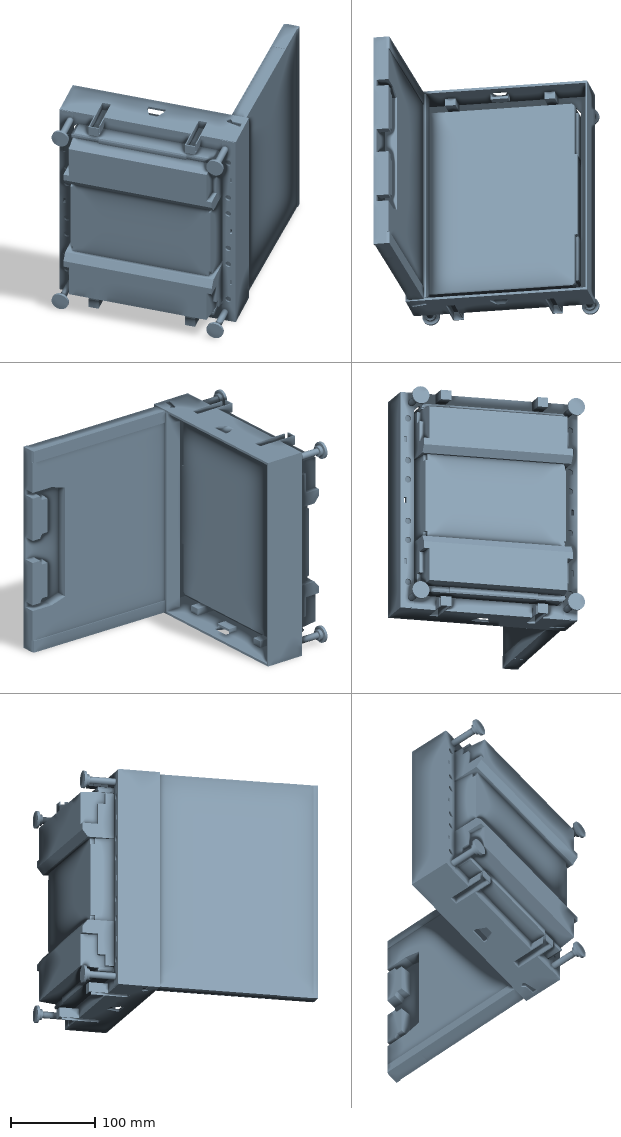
import cadquery as cq
import math

frame_width = 219.2
frame_height = 264.0
frame_front = 41.0
frame_back = 92.0
mid_x = frame_width / 2

wall = 3.0
side_wall = 1.7
flange_thickness = 4.5
opening_width = 186.3
opening_height = 231.3
opening_chamfer = 5.8
pad_width = 16.7
pad_thickness = 0.5
pad_inset = 0.5

foot_spacing_x = 192.5
foot_spacing_z = 238.8
foot_stem_radius = 4.0
foot_collar_radius = 6.5
foot_collar_front = 3.2
foot_collar_back = 7.5
foot_disc_radius = 10.5

round_hole_spacing = 200.7
round_hole_diameter = 7.5
round_hole_heights = (25.5, 48.7, 100.0)
round_hole_depth = 2.3
window_spacing = 207.5
window_width = 3.0
window_height = 7.0
window_offset = 74.7
window_recess = 1.2

slot_width = 21.3
slot_front = 73.2
slot_back = 78.0
ramp_front = 61.7
ramp_narrow_width = 9.8
ramp_depth = 5.8

clip_spacing = 120.0
clip_width = 12.7
clip_height = 11.5
clip_front = 17.3
clip_back = 69.8
clip_wall = 1.2
clip_gap = 5.0

hinge_slot_outline = [
    (195.5, 78.7), (199.0, 83.5), (202.5, 79.5), (214.5, 78.5), (214.5, 72.0), (202.5, 75.3), (197.2, 76.7),
]

tray_width = 177.5
tray_height = 229.5
tray_front = 20.5
tray_back = 63.5
back_plate = 8.7
tray_chamfer_y = 1.0
tray_chamfer_z = 2.0
tray_corner = 3.0
tongue_width = 109.0
shelf_setback = 1.2
groove_height = 2.3
groove_depth = 1.0

box_half_height = 50.8
box_front = 12.7
box_base_width = 185.0
box_face_width = 174.2
notch_depth = 5.8
notch_height = 7.2
notch_width = 2.3

cover_front = 1.2
cover_width = 184.5
cover_tip_top = 106.5
cover_base_top = 107.8
cover_bevel_start = 8.0
cover_bevel_top = 59.5
cover_body_base_width = 177.5
cover_body_face_width = 171.3
ear_edge = 67.5
ear_step = 92.5
ear_top = 105.8
ear_front = 20.8
ear_step_front = 30.0

door_end = 288.0
door_height = 261.3
door_thickness = 18.2
door_outer_x = 215.5
door_tilt = 1.0
border_height = 15.0
border_thickness = 1.2
edge_step = 0.3
lip_length = 5.8
lip_thickness = 1.0
end_bevel_x = 3.5
end_bevel_y = 1.2
handle_length = 48.5
handle_straight_length = 28.3
handle_half_height = 76.7
handle_tip_half_height = 70.6
handle_depth = 14.0
grip_center = 41.8
grip_half_height = 27.5
grip_neck_half_height = 22.0
grip_shoulder = 11.5
grip_neck = 15.0
grip_length = 23.6
grip_draft = 1.7

finger_front = 72.0
finger_height = 257.8
inner_finger = (194.4, 201.3)
outer_finger = (203.0, 215.5)


def block(x0, x1, y0, y1, z0, z1):
    """Box between two corners."""
    return cq.Workplane("XY").box(x1 - x0, y1 - y0, z1 - z0, centered=False).translate((x0, y0, z0))


def centered_block(width, height, y0, y1):
    """Box centered across the cabinet and on its mid-height."""
    return block(mid_x - width / 2, mid_x + width / 2, y0, y1, -height / 2, height / 2)


def y_cylinder(radius, x, z, y0, y1):
    return cq.Workplane("XZ", origin=(x, y0, z)).circle(radius).extrude(y0 - y1)


def x_prism(outline, width):
    """Outline of (y, z) points, extruded symmetrically across the cabinet."""
    return cq.Workplane("YZ", origin=(mid_x, 0, 0)).polyline(outline).close().extrude(width / 2, both=True)


def z_prism(outline, z0, z1):
    """Outline of (x, y) points, extruded upwards."""
    return cq.Workplane("XY", origin=(0, 0, z0)).polyline(outline).close().extrude(z1 - z0)


def mirror_down(shape):
    return shape.mirror("XY")


def drafted_prism(outline, base_width, face_width, y_base, y_face):
    """Side outline kept between two side faces that lean inwards towards the front."""
    height = frame_height
    sides = [
        (mid_x - base_width / 2, y_base),
        (mid_x - face_width / 2, y_face),
        (mid_x + face_width / 2, y_face),
        (mid_x + base_width / 2, y_base),
    ]
    return x_prism(outline, base_width).intersect(z_prism(sides, -height, height))


def make_frame_shell():
    shell = centered_block(frame_width, frame_height, frame_front, frame_back)
    cavity = centered_block(
        frame_width - 2 * side_wall, frame_height - 2 * wall, frame_front + flange_thickness, frame_back
    )
    opening = centered_block(
        opening_width, opening_height, frame_front - pad_thickness, frame_back
    ).edges("|Y").chamfer(opening_chamfer)
    pad_height = frame_height - 2 * pad_inset
    left_pad = block(
        pad_inset, pad_width, frame_front - pad_thickness, frame_front, -pad_height / 2, pad_height / 2
    )
    right_pad = left_pad.translate((frame_width - pad_width - pad_inset, 0, 0))
    return shell.cut(cavity).union(left_pad).union(right_pad).cut(opening)


def make_foot(x, z):
    stem = y_cylinder(foot_stem_radius, x, z, foot_collar_back, frame_front)
    collar = y_cylinder(foot_collar_radius, x, z, foot_collar_front, foot_collar_back)
    disc = y_cylinder(foot_disc_radius, x, z, 0, foot_collar_front)
    return stem.union(collar).union(disc)


def cut_flange_holes(frame):
    front = frame_front - pad_thickness
    for side in (-1, 1):
        hole_x = mid_x + side * round_hole_spacing / 2
        window_x = mid_x + side * window_spacing / 2
        for height in round_hole_heights:
            for z in (-height, height):
                frame = frame.cut(
                    y_cylinder(round_hole_diameter / 2, hole_x, z, front, front + round_hole_depth)
                )
        for z in (-window_offset, 0, window_offset):
            depth = window_recess if z else frame_back - front
            window = block(
                window_x - window_width / 2, window_x + window_width / 2, front, front + depth,
                z - window_height / 2, z + window_height / 2,
            )
            frame = frame.cut(window)
    return frame


def add_latch_slot(frame):
    top = frame_height / 2
    boss = block(
        mid_x - slot_width / 2, mid_x + slot_width / 2, ramp_front, slot_front, top - ramp_depth - wall, top
    )
    slot = block(
        mid_x - slot_width / 2, mid_x + slot_width / 2, slot_front, slot_back, top - ramp_depth - wall, top
    )
    ramp_plan = [
        (mid_x - ramp_narrow_width / 2, ramp_front),
        (mid_x + ramp_narrow_width / 2, ramp_front),
        (mid_x + slot_width / 2, slot_front),
        (mid_x - slot_width / 2, slot_front),
    ]
    ramp_side = [(ramp_front, top), (slot_front, top), (slot_front, top - ramp_depth)]
    ramp = z_prism(ramp_plan, top - ramp_depth, top).intersect(x_prism(ramp_side, slot_width))
    for place in (lambda shape: shape, mirror_down):
        frame = frame.union(place(boss)).cut(place(slot)).cut(place(ramp))
    return frame


def add_clip(frame, x, side):
    """Channel open to the outside; one of its walls stops short of the front end."""
    top = frame_height / 2
    left = x - clip_width / 2
    right = x + clip_width / 2
    bottom = top - clip_height
    body = block(left, right, clip_front, clip_back, bottom, top)
    channel = block(
        left + clip_wall, right - clip_wall, clip_front + clip_wall, clip_back - clip_wall,
        bottom + clip_wall, top,
    )
    gap = block(
        right - clip_wall, right, clip_front + clip_wall, clip_front + clip_wall + clip_gap,
        bottom + clip_wall, top,
    )
    turn = 0 if side > 0 else 180
    axis_start = (x, 0, 0)
    axis_end = (x, 1, 0)
    for shape, cutting in ((body, False), (channel, True), (gap, True)):
        placed = shape.rotate(axis_start, axis_end, turn)
        frame = frame.cut(placed) if cutting else frame.union(placed)
    return frame


def make_frame():
    frame = cut_flange_holes(make_frame_shell())
    frame = add_latch_slot(frame)
    for side_x in (-1, 1):
        for side_z in (-1, 1):
            frame = frame.union(
                make_foot(mid_x + side_x * foot_spacing_x / 2, side_z * foot_spacing_z / 2)
            )
            frame = add_clip(frame, mid_x + side_x * clip_spacing / 2, side_z)
    return frame.cut(z_prism(hinge_slot_outline, -frame_height, frame_height))


def make_rim_part(front, width):
    """Bar along the tray's top edge, beveled on its front edge."""
    half = tray_height / 2
    outline = [
        (tray_back, half),
        (front + tray_chamfer_y, half),
        (front, half - tray_chamfer_z),
        (front, cover_base_top),
        (tray_back, cover_base_top),
    ]
    return x_prism(outline, width)


def make_tray():
    tongue = make_rim_part(tray_front, tongue_width)
    shelf_front = tray_front + shelf_setback
    groove = block(
        0, frame_width, shelf_front, shelf_front + groove_depth,
        cover_base_top, cover_base_top + groove_height,
    )
    rim = make_rim_part(shelf_front, tray_width).cut(groove).union(tongue)
    box_outline = [
        (box_front, -box_half_height),
        (tray_back, -box_half_height),
        (tray_back, box_half_height),
        (box_front, box_half_height),
    ]
    box = drafted_prism(box_outline, box_base_width, box_face_width, tray_back, box_front)
    for side in (-1, 1):
        edge_x = mid_x + side * (box_face_width / 2 - notch_width)
        far_x = mid_x + side * box_base_width / 2
        x0, x1 = sorted((edge_x, far_x))
        notch = block(
            x0, x1, box_front, box_front + notch_depth, box_half_height - notch_height, box_half_height
        )
        box = box.cut(notch).cut(mirror_down(notch))
    back = centered_block(tray_width, tray_height, tray_back - back_plate, tray_back)
    plate = back.union(rim).union(mirror_down(rim))
    corners = centered_block(tray_width, tray_height, tray_front, tray_back).edges("|Y").chamfer(tray_corner)
    return plate.intersect(corners).union(box)


def make_upper_cover():
    back = tray_back - back_plate
    body_outline = [
        (back, box_half_height),
        (back, cover_base_top),
        (tray_front, cover_base_top),
        (cover_front, cover_tip_top),
        (cover_front, box_half_height),
    ]
    body = drafted_prism(
        body_outline, cover_body_base_width, cover_body_face_width, frame_front, cover_front
    )
    ear_outline = [
        (back, box_half_height),
        (cover_bevel_start, box_half_height),
        (cover_front, cover_bevel_top),
        (cover_front, ear_edge),
        (ear_front, ear_edge),
        (ear_front, ear_step),
        (ear_step_front, ear_step),
        (ear_step_front, ear_top),
        (back, ear_top),
    ]
    full = x_prism(ear_outline, cover_width)
    bevel_outline = [
        (cover_front, box_half_height),
        (cover_bevel_start, box_half_height),
        (cover_front, cover_bevel_top),
    ]
    return body.union(full).cut(x_prism(bevel_outline, cover_width))


def make_handle_recess(inner_x):
    start = door_end - handle_length
    bend = door_end - handle_straight_length
    outline = [
        (door_end, handle_half_height),
        (bend, handle_half_height),
        (start, handle_tip_half_height),
        (start, -handle_tip_half_height),
        (bend, -handle_half_height),
        (door_end, -handle_half_height),
    ]
    return cq.Workplane("YZ", origin=(inner_x, 0, 0)).polyline(outline).close().extrude(handle_depth)


def make_grip(inner_x):
    """Grip with stepped sides and a leaning front face, standing on the floor of the handle recess."""
    shoulder = door_end - grip_shoulder
    neck = door_end - grip_neck
    tip = door_end - grip_length
    curve_z = (grip_half_height + grip_neck_half_height) / 2
    curve_y = shoulder - (grip_neck - grip_shoulder) / 4
    profile = (
        cq.Workplane("YZ", origin=(inner_x, 0, 0))
        .moveTo(door_end, -grip_half_height)
        .lineTo(shoulder, -grip_half_height)
        .threePointArc((curve_y, -curve_z), (neck, -grip_neck_half_height))
        .lineTo(tip, -grip_neck_half_height)
        .lineTo(tip, grip_neck_half_height)
        .lineTo(neck, grip_neck_half_height)
        .threePointArc((curve_y, curve_z), (shoulder, grip_half_height))
        .lineTo(door_end, grip_half_height)
        .close()
        .extrude(handle_depth)
    )
    lean = [(inner_x, tip), (inner_x, tip + grip_draft), (inner_x + handle_depth, tip)]
    return profile.cut(z_prism(lean, -grip_half_height, grip_half_height))


def make_door():
    half = door_height / 2
    inner_x = door_outer_x - door_thickness
    door_root = frame_back - door_thickness * math.tan(math.radians(door_tilt))
    body_x = inner_x + border_thickness
    door = block(body_x, door_outer_x, door_root, door_end, edge_step - half, half - edge_step)
    border = block(inner_x, body_x, door_root, door_end, half - border_height, half)
    bevel = z_prism(
        [(inner_x, door_end), (inner_x + end_bevel_x, door_end), (inner_x, door_end - end_bevel_y)],
        half - border_height, half,
    )
    end = block(body_x, door_outer_x, door_end - handle_length, door_end, -half, half)
    lip = block(door_outer_x, door_outer_x + lip_thickness, door_end - lip_length, door_end, -half, half)
    door = door.union(end).union(lip)
    for place in (lambda shape: shape, mirror_down):
        door = door.union(place(border)).cut(place(bevel))
    door = door.cut(make_handle_recess(body_x))
    for z in (-grip_center, grip_center):
        door = door.union(make_grip(body_x).translate((0, 0, z)))
    door = door.rotate((door_outer_x, frame_back, 0), (door_outer_x, frame_back, 1), -door_tilt)
    return door.cut(block(0, frame_width, 0, frame_back, -half, half))


def add_hinge_fingers(door):
    for x0, x1 in (inner_finger, outer_finger):
        door = door.union(block(x0, x1, finger_front, frame_back, -finger_height / 2, finger_height / 2))
    return door


frame = make_frame()
tray = make_tray()
upper_cover = make_upper_cover()
lower_cover = mirror_down(upper_cover)
door = add_hinge_fingers(make_door())

bodies = [frame, tray, upper_cover, lower_cover, door]
result = cq.Compound.makeCompound([body.solids().val() for body in bodies])